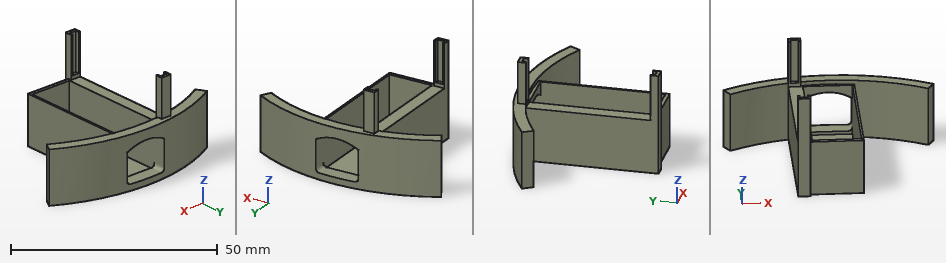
import cadquery as cq
import math

BAND_RADIUS = 51.0
BAND_THICKNESS = 3.0
BAND_HEIGHT = 15.05
BAND_HALF_ANGLE = math.radians(30)

BOX_HEIGHT = 14.0
CAVITY_WIDTH = 12.0
CAVITY_LENGTH = 31.0
CAVITY_REAR = 47.0
SIDE_WALL = 0.5
END_WALL = 1.0
FLOOR = 1.0

RAIL_WIDTH = 3.0
POST_DEPTH = 2.0
POST_HEIGHT = 26.0
GROOVE_WIDTH = 2.0
GROOVE_DEPTH = 1.0

OPENING_SILL = 1.85
OPENING_SPRING = 10.5
OPENING_CROWN = 12.25
SILL_CORNER_RADIUS = 1.0

BOX_WIDTH = CAVITY_WIDTH + 2 * SIDE_WALL
CAVITY_FRONT = CAVITY_REAR - CAVITY_LENGTH
RAIL_CENTER_X = -(BOX_WIDTH + RAIL_WIDTH) / 2


def block(width, y_front, y_rear, z_bottom, z_top, center_x=0):
    """Box centred on center_x, between the given Y and Z limits."""
    return (
        cq.Workplane("XY")
        .box(width, y_rear - y_front, z_top - z_bottom, centered=(True, False, False))
        .translate((center_x, y_front, z_bottom))
    )


def curved_band():
    inner_radius = BAND_RADIUS - BAND_THICKNESS
    sine = math.sin(BAND_HALF_ANGLE)
    cosine = math.cos(BAND_HALF_ANGLE)
    return (
        cq.Workplane("XY")
        .moveTo(-BAND_RADIUS * sine, BAND_RADIUS * cosine)
        .threePointArc((0, BAND_RADIUS), (BAND_RADIUS * sine, BAND_RADIUS * cosine))
        .lineTo(inner_radius * sine, inner_radius * cosine)
        .threePointArc((0, inner_radius), (-inner_radius * sine, inner_radius * cosine))
        .close()
        .extrude(BAND_HEIGHT)
    )


def open_box():
    outside = block(BOX_WIDTH, CAVITY_FRONT - END_WALL, CAVITY_REAR + END_WALL, 0, BOX_HEIGHT)
    cavity = block(CAVITY_WIDTH, CAVITY_FRONT, CAVITY_REAR, FLOOR, BOX_HEIGHT)
    return outside.cut(cavity)


def grooved_rail():
    rail = block(
        RAIL_WIDTH, CAVITY_FRONT - POST_DEPTH, CAVITY_REAR + POST_DEPTH, 0, POST_HEIGHT, RAIL_CENTER_X
    )
    gap = block(RAIL_WIDTH, CAVITY_FRONT, CAVITY_REAR, BOX_HEIGHT, POST_HEIGHT, RAIL_CENTER_X)
    grooves = block(
        GROOVE_WIDTH,
        CAVITY_FRONT - GROOVE_DEPTH,
        CAVITY_REAR + GROOVE_DEPTH,
        BAND_HEIGHT,
        POST_HEIGHT,
        RAIL_CENTER_X,
    )
    return rail.cut(gap).cut(grooves)


def rear_opening():
    half_width = CAVITY_WIDTH / 2
    return (
        cq.Workplane("XZ", origin=(0, BAND_RADIUS, 0))
        .moveTo(-half_width, OPENING_SILL)
        .lineTo(half_width, OPENING_SILL)
        .lineTo(half_width, OPENING_SPRING)
        .threePointArc((0, OPENING_CROWN), (-half_width, OPENING_SPRING))
        .close()
        .extrude(BAND_RADIUS - CAVITY_REAR)
        .edges("|Y").edges("<Z")
        .fillet(SILL_CORNER_RADIUS)
    )


result = curved_band().union(open_box()).union(grooved_rail()).cut(rear_opening())